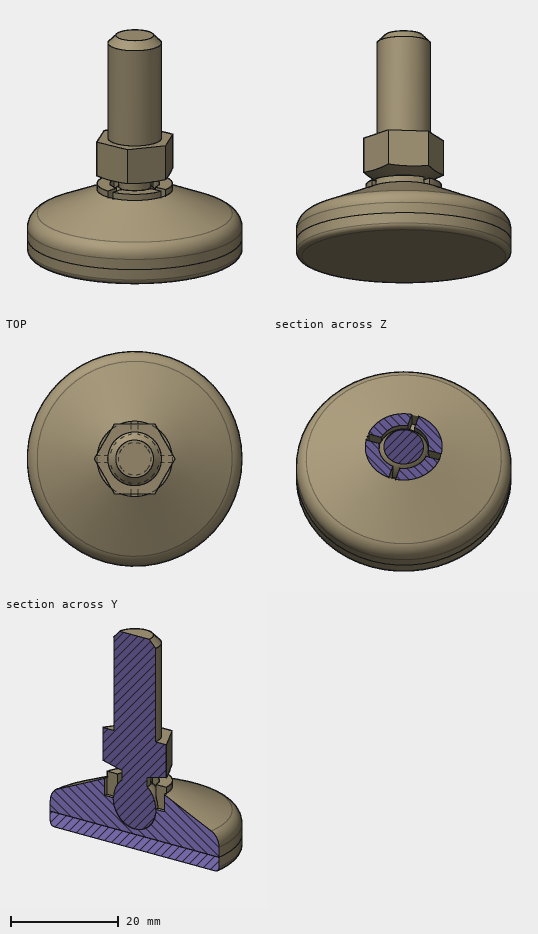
import cadquery as cq
import math

base_radius = 40.0 / 2
pad_height = 3.0
pad_edge_radius = 1.0
housing_wall_top = 5.0
shoulder_radius = 3.0

collar_radius = 7.0
collar_bottom = 12.5
collar_top = 13.7
slot_width = 1.28
slot_count = 4

ball_radius = 5.0
mouth_radius = 4.6
neck_radius = 3.0
neck_bottom = 13.1
ball_center = neck_bottom - math.sqrt(ball_radius**2 - neck_radius**2)

hex_across_flats = 13.0
hex_corner_radius = hex_across_flats / math.sqrt(3)
hex_bottom = 14.88
hex_cone_height = 1.0
hex_top = 22.5
shank_radius = 10.0 / 2
shank_chamfer = 1.5
stud_top = 42.5


def cylinder(radius, bottom, top):
    return cq.Workplane("XY").workplane(offset=bottom).circle(radius).extrude(top - bottom)


def make_ball():
    return cq.Workplane("XY").sphere(ball_radius).translate((0, 0, ball_center))


def make_pad():
    return cylinder(base_radius, 0, pad_height).faces("<Z").edges().fillet(pad_edge_radius)


def make_housing_blank():
    """Revolve the wall, the rounded shoulder, the tangent cone and the collar."""
    center_r = base_radius - shoulder_radius
    run = center_r - collar_radius
    rise = collar_bottom - housing_wall_top
    tangent_angle = math.atan2(rise, -run) - math.acos(shoulder_radius / math.hypot(run, rise))

    def shoulder_point(angle):
        return (
            center_r + shoulder_radius * math.cos(angle),
            housing_wall_top + shoulder_radius * math.sin(angle),
        )

    return (
        cq.Workplane("XZ")
        .moveTo(0, pad_height)
        .lineTo(base_radius, pad_height)
        .lineTo(base_radius, housing_wall_top)
        .threePointArc(shoulder_point(tangent_angle / 2), shoulder_point(tangent_angle))
        .lineTo(collar_radius, collar_bottom)
        .lineTo(collar_radius, collar_top)
        .lineTo(0, collar_top)
        .close()
        .revolve(360, (0, 0), (0, 1))
    )


def make_housing():
    housing = make_housing_blank()
    housing = housing.cut(make_ball()).cut(cylinder(mouth_radius, ball_center, collar_top))
    slot = (
        cq.Workplane("XY")
        .box(base_radius, slot_width, collar_top - ball_center, centered=(False, True, False))
        .translate((0, 0, ball_center))
        .intersect(cylinder(collar_radius, ball_center, collar_top))
    )
    for index in range(slot_count):
        housing = housing.cut(slot.rotate((0, 0, 0), (0, 0, 1), index * 360 / slot_count))
    return housing


def make_hex():
    """Hexagon whose underside is a shallow cone running down to the neck."""
    prism = (
        cq.Workplane("XY")
        .workplane(offset=hex_bottom)
        .polygon(6, 2 * hex_corner_radius)
        .extrude(hex_top - hex_bottom)
    )
    envelope = (
        cq.Workplane("XZ")
        .moveTo(0, hex_bottom)
        .lineTo(neck_radius, hex_bottom)
        .lineTo(hex_corner_radius, hex_bottom + hex_cone_height)
        .lineTo(hex_corner_radius, hex_top)
        .lineTo(0, hex_top)
        .close()
        .revolve(360, (0, 0), (0, 1))
    )
    return prism.intersect(envelope)


def make_stud():
    shank = cylinder(shank_radius, hex_top, stud_top).faces(">Z").edges().chamfer(shank_chamfer)
    neck = cylinder(neck_radius, ball_center, hex_bottom)
    return make_ball().union(neck).union(make_hex()).union(shank)


pad = make_pad()
housing = make_housing()
stud = make_stud()

result = cq.Compound.makeCompound([*pad.solids().vals(), *housing.solids().vals(), *stud.solids().vals()])